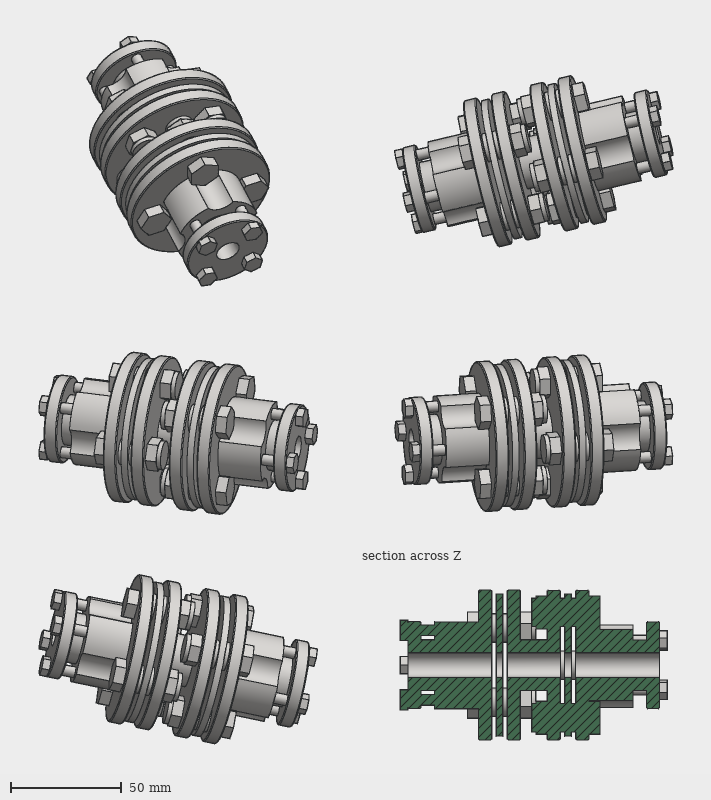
import cadquery as cq
import math

BOLT_COUNT = 4
RIGHT_HALF_ANGLE = 45.0

SMALL_HEAD_LENGTH = 3.5
CLAMP_DISC_LENGTH = 6.0
PIN_GAP = 6.0
HUB_LENGTH = 20.0
FLANGE_LENGTH = 6.0
MEMBRANE_GAP = 2.0
MEMBRANE_LENGTH = 3.0
SPACER_LENGTH = 12.0
LARGE_HEAD_LENGTH = 5.0
BOLT_END_LENGTH = 2.0

FLANGE_DIAMETER = 68.0
MEMBRANE_DIAMETER = 64.5
HUB_DIAMETER = 39.5
CLAMP_DISC_DIAMETER = 39.5
SHAFT_DIAMETER = 23.0
BORE_DIAMETER = 11.0
COLLAR_DIAMETER = 13.0
PIN_DIAMETER = 5.0

LARGE_BOLT_RADIUS = 23.8
LARGE_HEX_FLATS = 13.0
SMALL_BOLT_RADIUS = 15.7
SMALL_HEX_FLATS = 8.0
LARGE_BOLT_ANGLE = 45.0
SMALL_BOLT_ANGLE = 0.0

SCALLOP_DIAMETER = 16.0
SCALLOP_PITCH_RADIUS = 24.0
SCALLOP_OFFSET_ANGLE = 4.4
SCALLOP_ANGLE = LARGE_BOLT_ANGLE - SCALLOP_OFFSET_ANGLE

EDGE_CHAMFER = 0.5

PACK_LENGTH = 2 * (FLANGE_LENGTH + MEMBRANE_GAP) + MEMBRANE_LENGTH
INNER_FLANGE_END = -SPACER_LENGTH / 2
INNER_FLANGE_START = INNER_FLANGE_END - FLANGE_LENGTH
OUTER_FLANGE_START = INNER_FLANGE_END - PACK_LENGTH
OUTER_FLANGE_END = OUTER_FLANGE_START + FLANGE_LENGTH
MEMBRANE_START = OUTER_FLANGE_END + MEMBRANE_GAP
HUB_START = OUTER_FLANGE_START - HUB_LENGTH
CLAMP_DISC_END = HUB_START - PIN_GAP
CLAMP_DISC_START = CLAMP_DISC_END - CLAMP_DISC_LENGTH
LEFT_END = CLAMP_DISC_START - SMALL_HEAD_LENGTH


def cross_section(start):
    """YZ workplane at X = start, extruding towards +X."""
    return cq.Workplane("YZ", origin=(start, 0, 0))


def cylinder(start, length, diameter):
    return cross_section(start).circle(diameter / 2).extrude(length)


def chamfered_disc(start, length, diameter):
    return cylinder(start, length, diameter).edges().chamfer(EDGE_CHAMFER)


def bolt_pattern(start, pitch_radius, first_angle):
    """Centres of one ring of equally spaced bolts, each turned to face outwards."""
    return cross_section(start).polarArray(pitch_radius, first_angle, 360, BOLT_COUNT)


def bolt_cylinders(start, length, diameter, pitch_radius, first_angle):
    return bolt_pattern(start, pitch_radius, first_angle).circle(diameter / 2).extrude(length)


def bolt_hexagons(start, length, flats, pitch_radius, first_angle):
    """Hexagon heads, each with one corner pointing radially outwards."""
    corner_diameter = flats / math.cos(math.radians(30))
    return bolt_pattern(start, pitch_radius, first_angle).polygon(6, corner_diameter).extrude(length)


def make_hub():
    hub = cylinder(HUB_START, HUB_LENGTH, HUB_DIAMETER)
    scallops = bolt_cylinders(HUB_START, HUB_LENGTH, SCALLOP_DIAMETER, SCALLOP_PITCH_RADIUS, SCALLOP_ANGLE)
    return hub.cut(scallops)


def make_clamp():
    """Clamp disc with its small bolts, joined to the hub by the shaft."""
    pattern = (SMALL_BOLT_RADIUS, SMALL_BOLT_ANGLE)
    clamp = chamfered_disc(CLAMP_DISC_START, CLAMP_DISC_LENGTH, CLAMP_DISC_DIAMETER)
    clamp = clamp.union(cylinder(CLAMP_DISC_END, PIN_GAP, SHAFT_DIAMETER))
    clamp = clamp.union(bolt_cylinders(CLAMP_DISC_END, PIN_GAP, PIN_DIAMETER, *pattern))
    return clamp.union(bolt_hexagons(LEFT_END, SMALL_HEAD_LENGTH, SMALL_HEX_FLATS, *pattern))


def make_disc_pack():
    """Two flanges and the membrane between them, held together by the large bolts."""
    pattern = (LARGE_BOLT_RADIUS, LARGE_BOLT_ANGLE)
    head_start = OUTER_FLANGE_START - LARGE_HEAD_LENGTH
    nut_end = INNER_FLANGE_END + LARGE_HEAD_LENGTH
    pack = chamfered_disc(OUTER_FLANGE_START, FLANGE_LENGTH, FLANGE_DIAMETER)
    pack = pack.union(cylinder(MEMBRANE_START, MEMBRANE_LENGTH, MEMBRANE_DIAMETER))
    pack = pack.union(chamfered_disc(INNER_FLANGE_START, FLANGE_LENGTH, FLANGE_DIAMETER))
    for gap_start in (OUTER_FLANGE_END, MEMBRANE_START + MEMBRANE_LENGTH):
        pack = pack.union(bolt_cylinders(gap_start, MEMBRANE_GAP, COLLAR_DIAMETER, *pattern))
    for hex_start in (head_start, INNER_FLANGE_END):
        pack = pack.union(bolt_hexagons(hex_start, LARGE_HEAD_LENGTH, LARGE_HEX_FLATS, *pattern))
    return pack.union(bolt_cylinders(nut_end, BOLT_END_LENGTH, COLLAR_DIAMETER, *pattern))


left_half = make_clamp().union(make_hub()).union(make_disc_pack())
right_half = left_half.mirror("YZ").rotate((0, 0, 0), (1, 0, 0), RIGHT_HALF_ANGLE)
spacer = cylinder(INNER_FLANGE_END, SPACER_LENGTH, SHAFT_DIAMETER)
bore = cylinder(LEFT_END, -2 * LEFT_END, BORE_DIAMETER)

result = left_half.union(spacer).union(right_half).cut(bore)